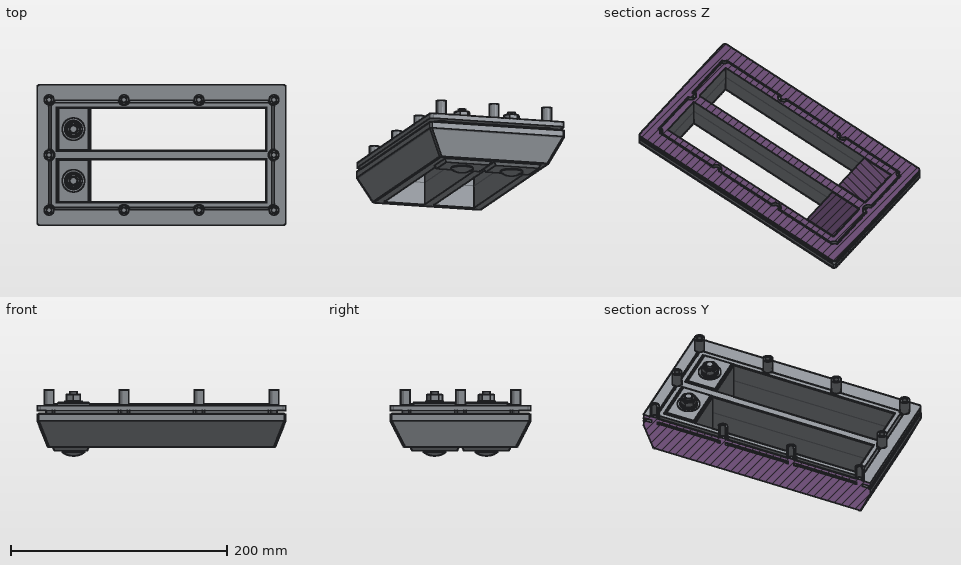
import cadquery as cq
import math

LENGTH = 230.2
WIDTH = 130.3

HOUSING_BOTTOM = 8.0
PYRAMID_TOP = 32.2
LIP_BOTTOM = 33.0
LIP_TOP = 38.7
PLATFORM_TOP = 39.8
PLATE_BOTTOM = 42.1
PLATE_TOP = 46.7
COLLAR_TOP = 48.3
SLEEVE_BOTTOM = 47.5
SLEEVE_TOP = 61.2

CORNER_CHAMFER = 1.5
PYRAMID_BOTTOM_LENGTH = 210.5
PYRAMID_BOTTOM_WIDTH = 105.0
PYRAMID_TOP_STEP = 0.2
BOTTOM_CHAMFER = 0.7

PLATFORM_INSET = 1.4
PLATFORM_CORNER_RADIUS = 8.0
PLATFORM_SLOPE = 1.0

COLLAR_TOP_LENGTH = 204.2
COLLAR_TOP_WIDTH = 97.1
COLLAR_SPREAD = 2.8

PLATE_CORNER_RADIUS = 3.0
PLATE_OPENING_LENGTH = 208.8
PLATE_OPENING_WIDTH = 101.3

STUD_REACH_X = 104.0
STUD_REACH_Y = 51.0
STUD_DIAMETER = 6.0
SLEEVE_DIAMETER = 9.0
SLEEVE_BORE = 4.8
NOTCH_DIAMETER = 10.4

WINDOW_LENGTH = 193.4
WINDOW_WIDTH = 38.7
WINDOW_OFFSET_Y = 24.0
WINDOW_DRAFT = 0.2
WINDOW_CHAMFER = 1.0
WINDOW_MIDDLE = 29.0

WEDGE_LEFT = -WINDOW_LENGTH / 2
WEDGE_RIGHT = -65.5
CAP_LEFT = -96.2
CAP_RIGHT = -66.5
CAP_WIDTH = 40.5
CAP_TOP = 49.7
CAP_CHAMFER = 1.2
FOOT_LEFT = -100.5
FOOT_RIGHT = -67.2
FOOT_WIDTH = 45.0
FOOT_BOTTOM = 4.8
FOOT_SLOPE = 1.5

BOLT_X = -81.5
BOLT_DIAMETER = 7.0
BOLT_TOP = 59.6
WASHER_DIAMETER = 20.7
WASHER_TOP = 50.0
NUT_FLANGE_DIAMETER = 16.0
NUT_FLANGE_TOP = 50.6
NUT_ACROSS_FLATS = 13.0
NUT_TOP = 57.3
NUT_CROWN_DIAMETER = 11.5
NUT_THREAD_DIAMETER = 8.0
NUT_COUNTERSINK = 0.58
HEAD_DIAMETER = 21.0
HEAD_NECK_DIAMETER = 19.3
HEAD_RIM = 3.7


def chamfered_rectangle(length, width, chamfer, z):
    """Wire of a rectangle with cut corners at height z, centred on the Z axis."""
    x, y = length / 2, width / 2
    points = [
        (x, y - chamfer), (x - chamfer, y), (chamfer - x, y), (-x, y - chamfer),
        (-x, chamfer - y), (chamfer - x, -y), (x - chamfer, -y), (x, chamfer - y),
    ]
    return cq.Wire.makePolygon([cq.Vector(px, py, z) for px, py in points], close=True)


def slab(x_min, x_max, y_middle, width, z_min, z_max):
    """Rectangular block between two X limits and two heights."""
    return (
        cq.Workplane("XY", origin=((x_min + x_max) / 2, y_middle, z_min))
        .rect(x_max - x_min, width)
        .extrude(z_max - z_min)
    )


def disc(x, y, diameter, z_min, z_max):
    """Upright cylinder between two heights."""
    return cq.Workplane("XY", origin=(x, y, z_min)).circle(diameter / 2).extrude(z_max - z_min)


def stud_places():
    """Four studs along each long side and one at the middle of each short side."""
    places = [(side * STUD_REACH_X, 0) for side in (-1, 1)]
    for x in (-STUD_REACH_X, -STUD_REACH_X / 3, STUD_REACH_X / 3, STUD_REACH_X):
        places += [(x, side * STUD_REACH_Y) for side in (-1, 1)]
    return places


def make_base():
    """Lower pyramid and the straight lip on top of it."""
    step = 2 * PYRAMID_TOP_STEP
    bottom = chamfered_rectangle(PYRAMID_BOTTOM_LENGTH, PYRAMID_BOTTOM_WIDTH, CORNER_CHAMFER, HOUSING_BOTTOM)
    top = chamfered_rectangle(LENGTH - step, WIDTH - step, CORNER_CHAMFER, PYRAMID_TOP)
    edge = chamfered_rectangle(LENGTH, WIDTH, CORNER_CHAMFER, LIP_BOTTOM)
    lip_top = chamfered_rectangle(LENGTH, WIDTH, CORNER_CHAMFER, LIP_TOP)
    pyramid = cq.Workplane(cq.Solid.makeLoft([bottom, top], True))
    pyramid = pyramid.faces("<Z").chamfer(BOTTOM_CHAMFER)
    step_face = cq.Workplane(cq.Solid.makeLoft([top, edge], True))
    lip = cq.Workplane(cq.Solid.makeLoft([edge, lip_top], True))
    return pyramid.union(step_face).union(lip)


def make_platform():
    """Low raised pad on the lip with rounded corners and sloping sides."""
    height = PLATFORM_TOP - LIP_TOP
    outline = (
        cq.Sketch()
        .rect(LENGTH - 2 * PLATFORM_INSET, WIDTH - 2 * PLATFORM_INSET)
        .vertices()
        .fillet(PLATFORM_CORNER_RADIUS)
    )
    return (
        cq.Workplane("XY", origin=(0, 0, LIP_TOP))
        .placeSketch(outline)
        .extrude(height, taper=math.degrees(math.atan2(PLATFORM_SLOPE, height)))
    )


def make_collar():
    """Drafted collar around both windows, notched to clear the sleeves."""
    height = COLLAR_TOP - PLATFORM_TOP
    collar = (
        cq.Workplane("XY", origin=(0, 0, PLATFORM_TOP))
        .rect(COLLAR_TOP_LENGTH + 2 * COLLAR_SPREAD, COLLAR_TOP_WIDTH + 2 * COLLAR_SPREAD)
        .extrude(height, taper=math.degrees(math.atan2(COLLAR_SPREAD, height)))
    )
    for x, y in stud_places():
        collar = collar.cut(disc(x, y, NOTCH_DIAMETER, PLATFORM_TOP, COLLAR_TOP))
    return collar


def make_plate():
    """Counter plate with a rectangular opening for the collar."""
    return (
        cq.Workplane("XY", origin=(0, 0, PLATE_BOTTOM))
        .rect(LENGTH, WIDTH)
        .extrude(PLATE_TOP - PLATE_BOTTOM)
        .edges("|Z")
        .fillet(PLATE_CORNER_RADIUS)
        .cut(slab(-PLATE_OPENING_LENGTH / 2, PLATE_OPENING_LENGTH / 2, 0, PLATE_OPENING_WIDTH,
                  PLATE_BOTTOM, PLATE_TOP))
    )


def make_window(y):
    """Through window that widens from its middle level to both ends, with a bevelled top rim."""
    window = None
    for rise in (COLLAR_TOP - WINDOW_MIDDLE, HOUSING_BOTTOM - WINDOW_MIDDLE):
        taper = -math.degrees(math.atan2(WINDOW_DRAFT, abs(rise)))
        half = (
            cq.Workplane("XY", origin=(0, y, WINDOW_MIDDLE))
            .rect(WINDOW_LENGTH, WINDOW_WIDTH)
            .extrude(rise, taper=taper)
        )
        window = half if window is None else window.union(half)
    rim = (
        cq.Workplane("XY", origin=(0, y, COLLAR_TOP))
        .rect(WINDOW_LENGTH + 2 * WINDOW_CHAMFER, WINDOW_WIDTH + 2 * WINDOW_CHAMFER)
        .extrude(-WINDOW_CHAMFER, taper=45)
    )
    return window.union(rim)


def make_housing():
    """Housing with its collar, studs, counter plate and sleeves."""
    housing = make_base().union(make_platform()).union(make_collar())
    housing = housing.union(make_plate())
    for x, y in stud_places():
        housing = housing.union(disc(x, y, STUD_DIAMETER, PLATFORM_TOP, SLEEVE_BOTTOM))
        sleeve = disc(x, y, SLEEVE_DIAMETER, SLEEVE_BOTTOM, SLEEVE_TOP)
        housing = housing.union(sleeve.cut(disc(x, y, SLEEVE_BORE, SLEEVE_BOTTOM, SLEEVE_TOP)))
    for side in (-1, 1):
        housing = housing.cut(make_window(side * WINDOW_OFFSET_Y))
    return housing


def make_nut(y):
    """Hexagon nut with bevelled corners, its flats facing along X, and a countersunk thread."""
    corner_diameter = NUT_ACROSS_FLATS / math.cos(math.pi / 6)
    bevel = (corner_diameter - NUT_CROWN_DIAMETER) / 2
    height = NUT_TOP - NUT_FLANGE_TOP
    hexagon = (
        cq.Workplane("XY", origin=(BOLT_X, y, NUT_FLANGE_TOP))
        .transformed(rotate=(0, 0, 30))
        .polygon(6, corner_diameter)
        .extrude(height)
    )
    crown = disc(BOLT_X, y, corner_diameter, NUT_FLANGE_TOP, NUT_TOP).edges().chamfer(bevel / 2, bevel)
    countersink = disc(BOLT_X, y, NUT_THREAD_DIAMETER, NUT_TOP - NUT_COUNTERSINK, NUT_TOP)
    return hexagon.intersect(crown).cut(countersink)


def make_bolt_head(y):
    """Domed head: a short flare from the foot to the rim, then a spherical cap down to its tip."""
    rim = HEAD_DIAMETER / 2
    sphere_radius = (rim**2 + HEAD_RIM**2) / (2 * HEAD_RIM)
    half_angle = math.asin(rim / sphere_radius) / 2
    arc_middle = (sphere_radius * math.sin(half_angle), sphere_radius * (1 - math.cos(half_angle)))
    return (
        cq.Workplane("XZ", origin=(BOLT_X, y, 0))
        .moveTo(0, 0)
        .threePointArc(arc_middle, (rim, HEAD_RIM))
        .lineTo(HEAD_NECK_DIAMETER / 2, FOOT_BOTTOM)
        .lineTo(0, FOOT_BOTTOM)
        .close()
        .revolve(360, (0, 0, 0), (0, 1, 0))
    )


def make_foot(y):
    """Plate under the housing whose sides slope inward toward the bottom."""
    height = HOUSING_BOTTOM - FOOT_BOTTOM
    return (
        cq.Workplane("XY", origin=((FOOT_LEFT + FOOT_RIGHT) / 2, y, HOUSING_BOTTOM))
        .rect(FOOT_RIGHT - FOOT_LEFT, FOOT_WIDTH)
        .extrude(-height, taper=math.degrees(math.atan2(FOOT_SLOPE, height)))
    )


def make_wedge(y):
    """Compression wedge with its bolt, washer and nut."""
    core = slab(WEDGE_LEFT, WEDGE_RIGHT, y, WINDOW_WIDTH, HOUSING_BOTTOM, COLLAR_TOP)
    cap = slab(CAP_LEFT, CAP_RIGHT, y, CAP_WIDTH, COLLAR_TOP, CAP_TOP).faces(">Z").chamfer(CAP_CHAMFER)
    foot = make_foot(y)
    washer = disc(BOLT_X, y, WASHER_DIAMETER, CAP_TOP, WASHER_TOP)
    flange = disc(BOLT_X, y, NUT_FLANGE_DIAMETER, WASHER_TOP, NUT_FLANGE_TOP)
    bolt = disc(BOLT_X, y, BOLT_DIAMETER, NUT_FLANGE_TOP, BOLT_TOP)
    wedge = core.union(cap).union(foot).union(washer).union(flange)
    return wedge.union(make_nut(y)).union(bolt).union(make_bolt_head(y))


housing = make_housing()
wedges = [make_wedge(side * WINDOW_OFFSET_Y) for side in (-1, 1)]

result = cq.Compound.makeCompound([housing.val(), *[wedge.val() for wedge in wedges]])